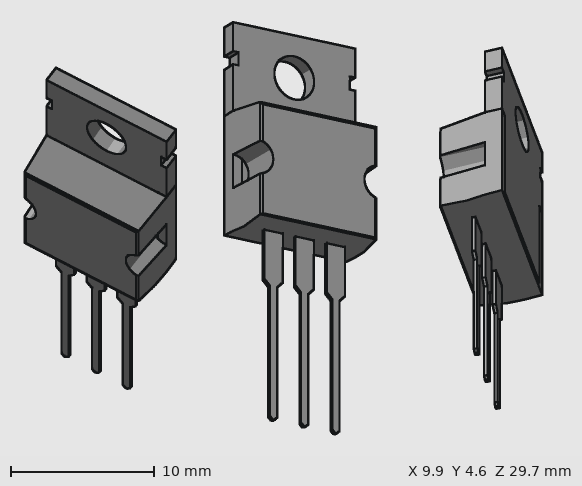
import cadquery as cq

WIDTH = 9.9
DEPTH = 4.6
HEIGHT = 29.7
HALF_WIDTH = WIDTH / 2

TAB_THICKNESS = 1.25
TAB_HOLE_DIAMETER = 3.2
TAB_HOLE_Z = HEIGHT - 3.18
NOTCH_DEPTH = 0.45
NOTCH_HEIGHT = 0.98
NOTCH_TOP_Z = HEIGHT - 2.17
HOUSING_WALL = 0.7

HOUSING_TOP_Z = HEIGHT - 6.62
HOUSING_BOTTOM_Z = 14.02
SIDE_INSET = 0.25
TOP_DROP = 0.4
BOTTOM_RISE_FRONT = 0.27
BOTTOM_RISE_BACK = 0.15
BEVEL_WIDTH = 0.18
BEVEL_DEPTH = 0.1
SIDE_RECESS_RADIUS = 1.25
SIDE_RECESS_Z = 18.55

LEAD_COUNT = 3
LEAD_PITCH = 2.52
LEAD_THICKNESS = 0.252
LEAD_CENTER_DEPTH = 2.55
LEAD_WIDE = 1.48
LEAD_NARROW = 0.6
LEAD_SHOULDER_Z = 10.37
LEAD_TIP_CHAMFER = 0.2
LEAD_EMBEDDED_LENGTH = 1.48


def make_tab():
    """Plate with a hole and two edge notches, narrowed to a tongue inside the housing."""
    head = cq.Workplane("XY").box(
        WIDTH, TAB_THICKNESS, HEIGHT - HOUSING_TOP_Z, centered=(True, False, False)
    ).translate((0, -TAB_THICKNESS, HOUSING_TOP_Z))

    tongue_bottom_z = HOUSING_BOTTOM_Z + HOUSING_WALL
    tongue = cq.Workplane("XY").box(
        WIDTH - 2 * HOUSING_WALL, TAB_THICKNESS, HOUSING_TOP_Z - tongue_bottom_z,
        centered=(True, False, False),
    ).translate((0, -TAB_THICKNESS, tongue_bottom_z))

    hole = (
        cq.Workplane("XZ")
        .center(0, TAB_HOLE_Z)
        .circle(TAB_HOLE_DIAMETER / 2)
        .extrude(TAB_THICKNESS)
    )
    notches = (
        cq.Workplane("XZ")
        .pushPoints([(side * HALF_WIDTH, NOTCH_TOP_Z - NOTCH_HEIGHT / 2) for side in (-1, 1)])
        .rect(2 * NOTCH_DEPTH, NOTCH_HEIGHT)
        .extrude(TAB_THICKNESS)
    )
    return head.union(tongue).cut(hole).cut(notches)


def make_lead(center_x):
    """Flat lead with a wide upper part, a tapered shoulder and a chamfered tip."""
    wide = LEAD_WIDE / 2
    narrow = LEAD_NARROW / 2
    tip = narrow - LEAD_TIP_CHAMFER
    lead_top_z = HOUSING_BOTTOM_Z + LEAD_EMBEDDED_LENGTH
    shoulder_end_z = LEAD_SHOULDER_Z - (wide - narrow)
    right_side = [
        (tip, 0),
        (narrow, LEAD_TIP_CHAMFER),
        (narrow, shoulder_end_z),
        (wide, LEAD_SHOULDER_Z),
        (wide, lead_top_z),
    ]
    left_side = [(-x, z) for x, z in reversed(right_side)]
    return (
        cq.Workplane("XZ")
        .polyline(right_side + left_side)
        .close()
        .extrude(LEAD_THICKNESS)
        .translate((center_x, LEAD_THICKNESS / 2 - LEAD_CENTER_DEPTH, 0))
    )


def make_housing_blank():
    """Drafted and front-bevelled block: a side profile intersected with a plan profile."""
    bevel_y = BEVEL_DEPTH - DEPTH
    top_edge_z = HOUSING_TOP_Z - TOP_DROP
    bottom_edge_z = HOUSING_BOTTOM_Z + BOTTOM_RISE_FRONT
    side_profile = (
        cq.Workplane("YZ")
        .polyline([
            (0, HOUSING_TOP_Z),
            (-TAB_THICKNESS, HOUSING_TOP_Z),
            (bevel_y, top_edge_z),
            (-DEPTH, top_edge_z - BEVEL_WIDTH),
            (-DEPTH, bottom_edge_z + BEVEL_DEPTH),
            (bevel_y, bottom_edge_z),
            (-LEAD_CENTER_DEPTH, HOUSING_BOTTOM_Z),
            (0, HOUSING_BOTTOM_Z + BOTTOM_RISE_BACK),
        ])
        .close()
        .extrude(HALF_WIDTH, both=True)
    )

    front_half_width = HALF_WIDTH - SIDE_INSET
    right_side = [
        (HALF_WIDTH, 0),
        (HALF_WIDTH, -TAB_THICKNESS),
        (front_half_width, bevel_y),
        (front_half_width - BEVEL_WIDTH, -DEPTH),
    ]
    left_side = [(-x, y) for x, y in reversed(right_side)]
    plan_profile = (
        cq.Workplane("XY")
        .polyline(right_side + left_side)
        .close()
        .extrude(HEIGHT)
    )
    return side_profile.intersect(plan_profile)


def make_housing(tab, leads):
    """Housing with round side recesses down to the tab and sockets for the tab and leads."""
    side_recesses = (
        cq.Workplane("XZ", origin=(0, -TAB_THICKNESS, 0))
        .pushPoints([(side * HALF_WIDTH, SIDE_RECESS_Z) for side in (-1, 1)])
        .circle(SIDE_RECESS_RADIUS)
        .extrude(DEPTH - TAB_THICKNESS)
    )
    housing = make_housing_blank().cut(side_recesses).cut(tab)
    for lead in leads:
        housing = housing.cut(lead)
    return housing


tab = make_tab()
leads = [make_lead((i - (LEAD_COUNT - 1) / 2) * LEAD_PITCH) for i in range(LEAD_COUNT)]
housing = make_housing(tab, leads)

result = cq.Compound.makeCompound([tab.val(), housing.val(), *[lead.val() for lead in leads]])